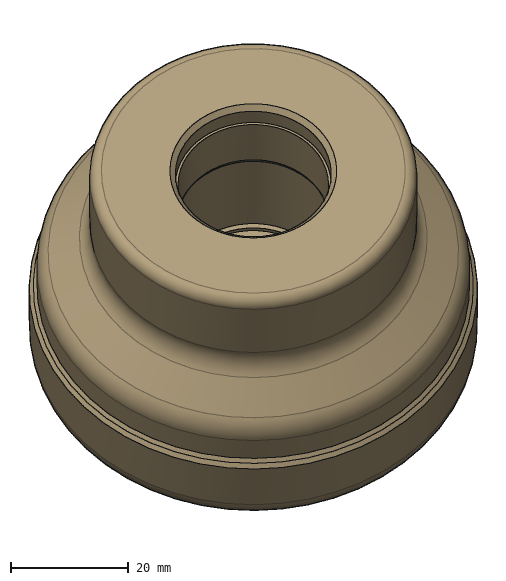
import cadquery as cq
import math

base_radius = 38.1
base_height = 15.9
base_foot_fillet = 5.0
shoulder_bevel = 0.7

total_height = 49.0
skirt_radius = 36.8
skirt_top_z = 21.65
skirt_fillet = 5.0
neck_radius = 27.8
neck_bottom_z = 34.7
neck_top_fillet = 2.0
flare_top_radius = 29.6
flare_top_z = 29.9
flare_slope = math.radians(38.4)
hub_foot_radius = base_radius - shoulder_bevel
skirt_bottom_z = base_height + hub_foot_radius - skirt_radius

mouth_radius = 13.25
mouth_depth = 4.1
mouth_chamfer = 0.9
lip_radius = 12.8
lip_bottom_depth = 14.2
lip_taper_height = 1.1

recess_radius = 12.35
recess_depth = 0.8
hole_radius = 6.8
hole_chamfer = 0.5


def make_base():
    disc = cq.Workplane("XY").circle(base_radius).extrude(base_height)
    disc = disc.faces("<Z").edges().fillet(base_foot_fillet)
    disc = disc.faces(">Z").edges().chamfer(shoulder_bevel)
    return disc.cut(make_base_opening())


def make_base_opening():
    floor_z = base_height - recess_depth
    return (
        cq.Workplane("XZ")
        .lineTo(hole_radius, 0)
        .lineTo(hole_radius, floor_z - hole_chamfer)
        .lineTo(hole_radius + hole_chamfer, floor_z)
        .lineTo(recess_radius, floor_z)
        .lineTo(recess_radius, base_height)
        .lineTo(0, base_height)
        .close()
        .revolve(360, (0, 0, 0), (0, 1, 0))
    )


def make_hub():
    turn = math.pi / 2 - flare_slope
    arc_centre_r = skirt_radius - skirt_fillet

    def skirt_arc_point(angle):
        radius = arc_centre_r + skirt_fillet * math.cos(angle)
        height = skirt_top_z + skirt_fillet * math.sin(angle)
        return (radius, height)

    hub = (
        cq.Workplane("XZ")
        .moveTo(0, base_height)
        .lineTo(hub_foot_radius, base_height)
        .lineTo(skirt_radius, skirt_bottom_z)
        .lineTo(skirt_radius, skirt_top_z)
        .threePointArc(skirt_arc_point(turn / 2), skirt_arc_point(turn))
        .lineTo(flare_top_radius, flare_top_z)
        .tangentArcPoint((neck_radius, neck_bottom_z), relative=False)
        .lineTo(neck_radius, total_height)
        .lineTo(0, total_height)
        .close()
        .revolve(360, (0, 0, 0), (0, 1, 0))
    )
    hub = hub.faces(">Z").edges().fillet(neck_top_fillet)
    return hub.cut(make_bore())


def make_bore():
    lip_top_z = total_height - mouth_depth
    lip_bottom_z = total_height - lip_bottom_depth
    return (
        cq.Workplane("XZ")
        .moveTo(0, base_height)
        .lineTo(mouth_radius, base_height)
        .lineTo(mouth_radius, lip_bottom_z - lip_taper_height)
        .lineTo(lip_radius, lip_bottom_z)
        .lineTo(lip_radius, lip_top_z)
        .lineTo(mouth_radius, lip_top_z)
        .lineTo(mouth_radius, total_height - mouth_chamfer)
        .lineTo(mouth_radius + mouth_chamfer, total_height)
        .lineTo(0, total_height)
        .close()
        .revolve(360, (0, 0, 0), (0, 1, 0))
    )


base = make_base()
hub = make_hub()
result = cq.Compound.makeCompound([base.val(), hub.val()])